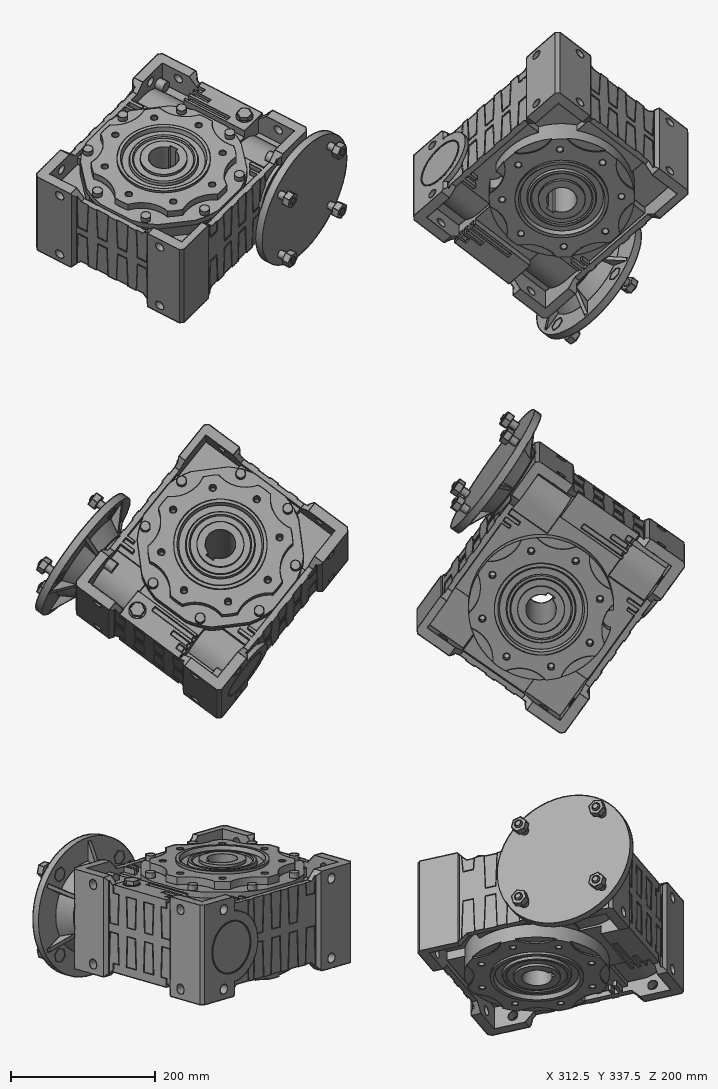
import cadquery as cq
import math


worm_y = 110.0
foot_reach = 127.5
foot_top_y = 167.5
foot_right_low = 123.2
foot_right_high = 126.0
foot_half_height = 72.0
foot_chamfer = 4.7
panel_inset = 5.7
panel_half_height = 58.7

core_x = foot_reach - panel_inset
core_low = -core_x
core_high = foot_top_y - panel_inset

gap_half = 60.0
gap_high = 99.2
notch_half = 66.5
notch_high = 106.5
notch_right = 64.8
notch_drop = foot_half_height - panel_half_height

pocket_x = 112.5
pocket_low = -113.0
pocket_high = 152.5
web_half = 51.5
web_low = -47.5
web_high = 87.5
web_floor = 50.5
cover_seat = 54.0
corner_floor = 37.0
worm_corner_floor = 32.0
cap_shell_radius = 44.0
flange_shell_radius = 47.2

block_low = 119.0
block_height = 63.0
block_slots = [(148.0, 8.0, 12.0), (137.7, 7.0, 30.0), (126.2, 7.0, 71.2)]
block_slot_depth = 5.0
slot_mouth_length = 3.5
slot_mouth_depth = 11.8
plug_x = 35.0
plug_y = 142.0
plug_washer_radius = 11.8
plug_washer_height = 1.0
plug_flats = 18.2
plug_height = 6.8

web_ribs = [(77.3, 4.7, 20.5), (66.0, 3.7, 12.8)]

foot_hole_radius = 7.0
foot_hole_offset = 85.0
foot_hole_worm_y = 125.2
foot_hole_z = 57.5

rib_count = 4
rib_pitch = 33.8
rib_recess_wide = 20.5
rib_recess_narrow = 15.5
rib_recess_depth = 1.5
rib_recess_start = 6.5
rib_recess_short = 40.5
worm_end_recess_y = 80.3
worm_end_widening = 20.2

cap_boss_radius = 51.3
flange_boss_radius = 53.5
cap_groove_outer = 37.8
cap_groove_inner = 36.8
cap_groove_depth = 1.7
pin_radius = 8.0
pin_length = 13.5
pins = [(1, worm_y, 49.0), (-1, 142.8, 40.5)]

plate_sides = 8
plate_radius = 115.5
plate_apothem = 112.5
plate_top = 62.8
lobe_count = 8
lobe_radius = 100.2
lobe_half_angle = 6.2
valley_radius = 87.0
lobe_top = 74.0
round_face_top = 71.5
worm_relief_radius = 14.2
worm_relief_circle = 99.5
worm_relief_angle = 154.0
lip_radius = 64.5
lip_top = 77.5
tap_circle = 82.5
tap_radius = 4.5
tap_chamfer = 0.7
tap_depth = 13.5
cover_bolt_circle = 107.3
cover_bolt_radius = 6.8
cover_bolt_height = 7.8

shaft_radius = 32.5
recess_steps = [
    (shaft_radius, 0), (59.7, 0), (57.5, 6.5), (48.3, 6.5),
    (47.0, 2.5), (43.2, 2.5), (41.5, 4.0), (shaft_radius, 4.0),
]
bore_radius = 21.0
key_width = 12.0
key_reach = 24.5

disc_radius = 100.0
disc_back = 149.2
disc_front = 160.3
cone_start = 127.2
cone_base_radius = 66.0
flange_rib_count = 6
flange_rib_width = 5.7
flange_rib_reach = 94.5
flange_rib_start = 129.0
flange_rib_start_radius = 53.5
screw_count = 4
screw_circle = 82.5
screw_radius = 5.7
hexagon_sides = 6
screw_chamfer = 1.7
screw_end = 185.0
screw_head_diameter = 21.0
screw_head_proud = 0.7
nut_diameter = 22.5
nut_back = 172.0
nut_front = 182.2


def block(x0, x1, y0, y1, z0, z1):
    """Box between two values on each axis."""
    return cq.Workplane("XY").box(x1 - x0, y1 - y0, z1 - z0, centered=False).translate((x0, y0, z0))


def rod(radius, x0, x1, y, z):
    """Cylinder parallel to X."""
    return cq.Workplane("YZ", origin=(x0, y, z)).circle(radius).extrude(x1 - x0)


def post(radius, x, y, z0, z1):
    """Cylinder parallel to Z."""
    return cq.Workplane("XY", origin=(x, y, z0)).circle(radius).extrude(z1 - z0)


def around(radius, count, start_angle):
    """Evenly spaced points on a circle, first one at start_angle degrees."""
    angles = [math.radians(start_angle + i * 360 / count) for i in range(count)]
    return [(radius * math.cos(a), radius * math.sin(a)) for a in angles]


def cut_both_faces(body, cutter):
    """Cut the same shape into the upper and the lower face."""
    return body.cut(cutter).cut(cutter.mirror("XY"))


def add_both_faces(body, feature):
    """Add the same shape on the upper and the lower face."""
    return body.union(feature).union(feature.mirror("XY"))


def lobed_pad(base):
    step = 360 / lobe_count
    first_x, first_y = around(lobe_radius, 1, -lobe_half_angle)[0]
    outline = cq.Workplane("XY", origin=(0, 0, base)).moveTo(first_x, first_y)
    for i in range(lobe_count):
        tip = around(lobe_radius, 1, i * step)[0]
        lobe_end = around(lobe_radius, 1, i * step + lobe_half_angle)[0]
        valley = around(valley_radius, 1, (i + 0.5) * step)[0]
        next_lobe = around(lobe_radius, 1, (i + 1) * step - lobe_half_angle)[0]
        outline = outline.threePointArc(tip, lobe_end).threePointArc(valley, next_lobe)
    return outline.close().extrude(lobe_top - base)


def bearing_recess():
    """Stepped ring cut around the shaft."""
    profile = [(radius, lip_top - depth) for radius, depth in recess_steps]
    return cq.Workplane("XZ").polyline(profile).close().revolve(360, (0, 0, 0), (0, 1, 0))


def plate(z0, z1):
    """Octagon with its corners rounded to one circle."""
    corners = around(plate_apothem / math.cos(math.pi / plate_sides), plate_sides, 180 / plate_sides)
    octagon = cq.Workplane("XY", origin=(0, 0, z0)).polyline(corners).close().extrude(z1 - z0)
    return octagon.intersect(post(plate_radius, 0, 0, z0, z1))


def tapped_hole(x, y):
    depths = [
        (0, 0), (tap_radius + tap_chamfer, 0), (tap_radius, tap_chamfer),
        (tap_radius, tap_depth), (0, tap_depth + tap_radius),
    ]
    profile = [(radius, lobe_top - depth) for radius, depth in depths]
    hole = cq.Workplane("XZ").polyline(profile).close().revolve(360, (0, 0, 0), (0, 1, 0))
    return hole.translate((x, y, 0))


def finish_output_face(face):
    """Add the lip, then cut the bearing recess, the shaft hole and the tapped holes."""
    face = face.union(post(lip_radius, 0, 0, lobe_top, lip_top))
    face = face.cut(bearing_recess()).cut(post(shaft_radius, 0, 0, 0, lip_top))
    for x, y in around(tap_circle, lobe_count, 0):
        face = face.cut(tapped_hole(x, y))
    return face


def corner_block(x0, x1, y0, y1):
    return block(x0, x1, y0, y1, -foot_half_height, foot_half_height).edges("|Z").chamfer(foot_chamfer)


def notch(plane, origin, low, high, length):
    """Trapezoid gap above a middle panel, with 45 degree ends."""
    corners = [
        (low, foot_half_height), (high, foot_half_height),
        (high - notch_drop, panel_half_height), (low + notch_drop, panel_half_height),
    ]
    return cq.Workplane(plane, origin=origin).polyline(corners).close().extrude(length)


def housing_blank():
    body = block(-core_x, core_x, core_low, core_high, -foot_half_height, foot_half_height)
    body = body.union(corner_block(-foot_reach, -gap_half, -foot_reach, -gap_half))
    body = body.union(corner_block(gap_half, foot_right_low, -foot_reach, -gap_half))
    body = body.union(corner_block(-foot_reach, -gap_half, gap_high, foot_top_y))
    body = body.union(corner_block(gap_half, foot_right_high, gap_high, foot_top_y))
    along_x = notch("YZ", (-foot_reach, 0, 0), -notch_half, notch_high, 2 * foot_reach)
    along_y = notch("XZ", (0, foot_top_y, 0), -notch_half, notch_right, foot_top_y + foot_reach)
    return cut_both_faces(cut_both_faces(body, along_x), along_y)


def face_pockets():
    top = foot_half_height
    cutter = block(-pocket_x, pocket_x, pocket_low, pocket_high, web_floor, top)
    for x0, x1 in [(-pocket_x, -web_half), (web_half, pocket_x)]:
        cutter = cutter.union(block(x0, x1, pocket_low, web_low, corner_floor, top))
        cutter = cutter.union(block(x0, x1, web_high, pocket_high, worm_corner_floor, top))
    return cutter


def worm_shell(radius, x0, x1):
    shell = rod(radius, x0, x1, worm_y, 0)
    return shell.union(block(x0, x1, web_high, worm_y, -radius, radius))


def slotted_block():
    body = block(-web_half, web_half, block_low, core_high, web_floor, block_height)
    slot_floor = block_height - block_slot_depth
    mouth_floor = block_height - slot_mouth_depth
    mouth_end = slot_mouth_length - web_half
    for y, width, length in block_slots:
        y0 = y - width / 2
        y1 = y + width / 2
        body = body.cut(block(-web_half, length - web_half, y0, y1, slot_floor, block_height))
        body = body.cut(block(-web_half, mouth_end, y0, y1, mouth_floor, block_height))
    return body


def oil_plug():
    hexagon_bottom = block_height + plug_washer_height
    washer = post(plug_washer_radius, plug_x, plug_y, block_height, hexagon_bottom)
    hexagon = cq.Workplane("XY", origin=(plug_x, plug_y, hexagon_bottom))
    hexagon = hexagon.polygon(hexagon_sides, plug_flats, circumscribed=True)
    return washer.union(hexagon.extrude(plug_height - plug_washer_height))


def web_end_ribs():
    ribs = cq.Workplane("XY")
    for y, width, length in web_ribs:
        for x0, x1 in [(-pocket_x, length - pocket_x), (pocket_x - length, pocket_x)]:
            ribs = ribs.union(block(x0, x1, y - width / 2, y + width / 2, web_floor, panel_half_height))
    return ribs


def foot_holes():
    wall = foot_reach - pocket_x
    cutter = cq.Workplane("XY")
    for z in (-foot_hole_z, foot_hole_z):
        for y in (-foot_hole_offset, foot_hole_worm_y):
            cutter = cutter.union(rod(foot_hole_radius, -foot_reach, -pocket_x, y, z))
        for x in (-foot_hole_offset, foot_hole_offset):
            for y in (-pocket_x, foot_top_y):
                hole = cq.Workplane("XZ", origin=(x, y, z)).circle(foot_hole_radius).extrude(wall)
                cutter = cutter.union(hole)
    return cutter


def rib_recess(plane, origin, centre, start, widening=0):
    """One tapered recess, wide at the panel edge and narrow towards the middle."""
    corners = [
        (centre - rib_recess_wide / 2, foot_half_height),
        (centre + rib_recess_wide / 2 + widening, foot_half_height),
        (centre + rib_recess_narrow / 2 + widening, start),
        (centre - rib_recess_narrow / 2, start),
    ]
    return cq.Workplane(plane, origin=origin).polyline(corners).close().extrude(rib_recess_depth)


def panel_recesses():
    centres = [(i - (rib_count - 1) / 2) * rib_pitch for i in range(rib_count)]
    cutter = cq.Workplane("XY")
    for y in (core_low + rib_recess_depth, core_high):
        for x in centres:
            recess = rib_recess("XZ", (0, y, 0), x, rib_recess_start)
            cutter = cutter.union(recess).union(recess.mirror("XY"))
    for x in (-core_x, core_x - rib_recess_depth):
        for y in centres:
            recess = rib_recess("YZ", (x, 0, 0), y, rib_recess_start)
            upper_start = rib_recess_short if y == centres[0] else rib_recess_start
            cutter = cutter.union(rib_recess("YZ", (x, 0, 0), y, upper_start)).union(recess.mirror("XY"))
        recess = rib_recess("YZ", (x, 0, 0), worm_end_recess_y, rib_recess_start, worm_end_widening)
        cutter = cutter.union(recess).union(recess.mirror("XY"))
    clear_x = block(-core_x, core_x, -gap_half, gap_high, -foot_half_height, foot_half_height)
    clear_y = block(-gap_half, gap_half, core_low, core_high, -foot_half_height, foot_half_height)
    return cutter.intersect(clear_x.union(clear_y))


def integral_face():
    """Round output face that belongs to the housing, built facing +Z."""
    face = post(lobe_radius, 0, 0, 0, round_face_top)
    relief_x, relief_y = around(worm_relief_circle, 1, worm_relief_angle)[0]
    face = face.cut(post(worm_relief_radius, relief_x, relief_y, web_floor, round_face_top))
    return finish_output_face(face.union(lobed_pad(round_face_top)))


def make_housing():
    body = cut_both_faces(housing_blank(), face_pockets())
    body = body.union(plate(0, cover_seat))
    body = body.union(worm_shell(cap_shell_radius, -pocket_x, -web_half))
    body = body.union(worm_shell(flange_shell_radius, web_half, pocket_x))
    body = body.cut(panel_recesses()).cut(foot_holes())
    body = add_both_faces(body, slotted_block())
    body = add_both_faces(body, web_end_ribs())
    body = body.union(oil_plug())
    body = body.union(rod(cap_boss_radius, -foot_reach, -pocket_x, worm_y, 0))
    body = body.union(rod(flange_boss_radius, pocket_x, foot_right_high, worm_y, 0))
    groove = rod(cap_groove_outer, -foot_reach, cap_groove_depth - foot_reach, worm_y, 0)
    body = body.cut(groove.cut(rod(cap_groove_inner, -foot_reach, cap_groove_depth - foot_reach, worm_y, 0)))
    for side, y, z in pins:
        ends = sorted((side * pocket_x, side * (pocket_x - pin_length)))
        body = body.union(rod(pin_radius, ends[0], ends[1], y, z))
    body = body.union(integral_face().mirror("XY"))
    return body.cut(post(shaft_radius, 0, 0, -lip_top, cover_seat))


def make_cover():
    body = finish_output_face(plate(cover_seat, plate_top).union(lobed_pad(plate_top)))
    for x, y in around(cover_bolt_circle, lobe_count, 180 / lobe_count):
        body = body.union(post(cover_bolt_radius, x, y, plate_top, plate_top + cover_bolt_height))
    return body


def make_shaft():
    body = post(shaft_radius, 0, 0, -lip_top, lip_top).cut(post(bore_radius, 0, 0, -lip_top, lip_top))
    return body.cut(block(-key_width / 2, key_width / 2, 0, key_reach, -lip_top, lip_top))


def flange_rib():
    corners = [
        (flange_rib_start, 0), (flange_rib_start, flange_rib_start_radius),
        (disc_back, flange_rib_reach), (disc_back, 0),
    ]
    return cq.Workplane("XZ").polyline(corners).close().extrude(flange_rib_width / 2, both=True)


def hexagon_bar(diameter, x0, x1):
    """Hexagonal bar along X, with a corner pointing to +Y."""
    return cq.Workplane("YZ", origin=(x0, 0, 0)).polygon(hexagon_sides, diameter).extrude(x1 - x0)


def flange_screw():
    """Screw offset along +Y from the flange axis, with a head and nut corner pointing outwards."""
    head = hexagon_bar(screw_head_diameter, disc_back - screw_head_proud, disc_front)
    shank = rod(screw_radius, disc_front, screw_end, 0, 0).faces(">X").chamfer(screw_chamfer)
    nut = hexagon_bar(nut_diameter, nut_back, nut_front)
    return head.union(shank).union(nut).translate((0, screw_circle, 0))


def make_flange():
    profile = [
        (foot_right_high, 0), (foot_right_high, flange_boss_radius), (cone_start, flange_boss_radius),
        (disc_back, cone_base_radius), (disc_back, disc_radius), (disc_front, disc_radius), (disc_front, 0),
    ]
    body = cq.Workplane("XZ").polyline(profile).close().revolve(360, (0, 0, 0), (1, 0, 0))
    for i in range(flange_rib_count):
        body = body.union(flange_rib().rotate((0, 0, 0), (1, 0, 0), i * 360 / flange_rib_count))
    for i in range(screw_count):
        angle = (i + 0.5) * 360 / screw_count
        body = body.union(flange_screw().rotate((0, 0, 0), (1, 0, 0), angle))
    return body.translate((0, worm_y, 0))


housing = make_housing()
cover = make_cover()
shaft = make_shaft()
flange = make_flange()
result = cq.Compound.makeCompound([body.solids().val() for body in (housing, cover, shaft, flange)])